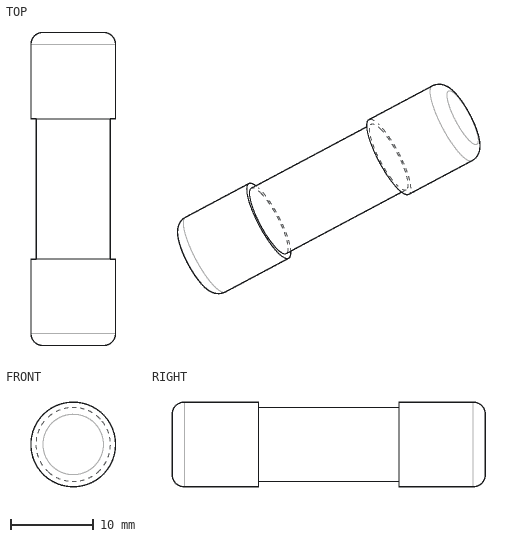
import cadquery as cq

total_length = 38.0
cap_diameter = 10.3
cap_length = 10.5
cap_edge_radius = 1.5
body_diameter = 9.0


def cylinder_along_y(diameter, length):
    """Cylinder centred on the origin with its axis along Y."""
    return cq.Workplane("XZ").circle(diameter / 2).extrude(length / 2, both=True)


def end_cap(side):
    """Cap at the +Y (side = 1) or -Y (side = -1) end, with its outer edge rounded."""
    outer_face = ">Y" if side > 0 else "<Y"
    center_y = side * (total_length - cap_length) / 2
    cap = cylinder_along_y(cap_diameter, cap_length)
    cap = cap.faces(outer_face).edges().fillet(cap_edge_radius)
    return cap.translate((0, center_y, 0))


body = cylinder_along_y(body_diameter, total_length - cap_length)
result = body.union(end_cap(1)).union(end_cap(-1))